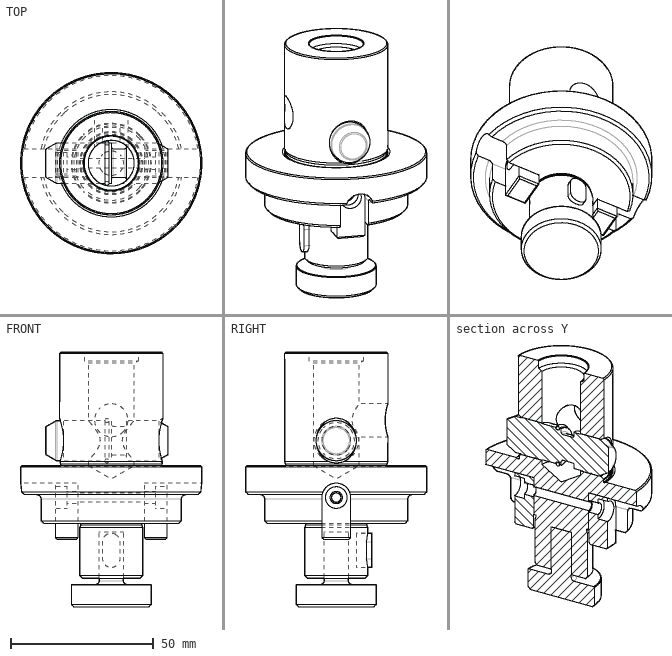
import cadquery as cq
import math


cut_clearance = 0.9

shank_radius = 18.1
shank_height = 39.7
shank_chamfer = 0.45
flange_radius = 63.5 / 2
flange_thickness = 10.2
flange_top_chamfer = 0.45
hub_radius = 25.1
hub_bottom = -20.3
hub_fillet = 1.5
pilot_radius = 11.1
pilot_bottom = -39.45
edge_chamfer = 1.0

relief_depth = 0.4
relief_length = 1.4
relief_ramp = 0.9
seat_relief_radius = 18.8

bore_radius = 8.0
bore_bottom = 0.0
counterbore_radius = 9.5
counterbore_depth = 3.0
mouth_chamfer = 0.3
drill_tip_angle = math.radians(30)
side_hole_radius = 5.8
side_hole_z = 15.9

pin_z = 8.75
pin_center_x = -1.5
pin_length = 42.85
pin_radius = 7.05
pin_tip_radius = 4.9
pin_cone_angle = math.radians(30)
pin_edge_fillet = 0.5
pin_shoulder_fillet = 1.0
waist_radius = 10.1 / 2
waist_start = 0.1
waist_end = 5.3
waist_fillet = 0.5
ring_section_radius = 0.7

dog_width = 10.1
dog_inner_x = 11.6
dog_thickness = 7.9
dog_bottom = -25.8
dog_chamfer = 0.6
dog_screw_z = -11.2
screw_head_radius = 7.6 / 2
screw_head_depth = 4.0
screw_clearance_radius = 2.1
tapped_radius = 1.6

key_width = 6.1
key_length = 12.0
key_center_z = -29.6
key_inner_y = 7.05
key_outer_y = 12.5

head_radius = 14.0
head_top = -41.5
head_bottom = -49.5
head_top_chamfer = 0.3
stem_radius = 4.3
stem_top = -23.2
stem_fillet = 1.1


def revolve_about_z(profile):
    return profile.close().revolve(360, (0, 0, 0), (0, 1, 0))


def x_cylinder(radius, start_x, end_x, center_z):
    """Cylinder along X between two stations."""
    plane = cq.Workplane("YZ", origin=(start_x, 0, center_z))
    return plane.circle(radius).extrude(end_x - start_x)


def housing_blank():
    shank_relief = shank_radius - relief_depth
    pilot_relief = pilot_radius - relief_depth
    flange_bottom = -flange_thickness
    profile = (
        cq.Workplane("XZ")
        .moveTo(0, shank_height)
        .lineTo(shank_radius - shank_chamfer, shank_height)
        .lineTo(shank_radius, shank_height - shank_chamfer)
        .lineTo(shank_radius, relief_length)
        .lineTo(shank_relief, relief_length - relief_ramp)
        .lineTo(shank_relief, -relief_depth)
        .lineTo(shank_radius, -relief_depth)
        .lineTo(seat_relief_radius, 0)
        .lineTo(flange_radius - flange_top_chamfer, 0)
        .lineTo(flange_radius, -flange_top_chamfer)
        .lineTo(flange_radius, flange_bottom + edge_chamfer)
        .lineTo(flange_radius - edge_chamfer, flange_bottom)
        .lineTo(hub_radius + hub_fillet, flange_bottom)
        .radiusArc((hub_radius, flange_bottom - hub_fillet), -hub_fillet)
        .lineTo(hub_radius, hub_bottom + edge_chamfer)
        .lineTo(hub_radius - edge_chamfer, hub_bottom)
        .lineTo(pilot_relief, hub_bottom)
        .lineTo(pilot_relief, hub_bottom - relief_length + relief_ramp)
        .lineTo(pilot_radius, hub_bottom - relief_length)
        .lineTo(pilot_radius, pilot_bottom + edge_chamfer)
        .lineTo(pilot_radius - edge_chamfer, pilot_bottom)
        .lineTo(0, pilot_bottom)
    )
    return revolve_about_z(profile)


def shank_bore():
    """Stepped blind bore with drill-tip cones at the step and at the bottom."""
    step_z = shank_height - counterbore_depth
    step_drop = (counterbore_radius - bore_radius) * math.tan(drill_tip_angle)
    tip_drop = bore_radius * math.tan(drill_tip_angle)
    profile = (
        cq.Workplane("XZ")
        .moveTo(0, shank_height)
        .lineTo(counterbore_radius + mouth_chamfer, shank_height)
        .lineTo(counterbore_radius, shank_height - mouth_chamfer)
        .lineTo(counterbore_radius, step_z)
        .lineTo(bore_radius, step_z - step_drop)
        .lineTo(bore_radius, bore_bottom)
        .lineTo(0, bore_bottom - tip_drop)
    )
    return revolve_about_z(profile)


def side_hole():
    """Radial hole from the +Y side of the shank into the bore."""
    plane = cq.Workplane("XZ", origin=(0, 0, side_hole_z))
    return plane.circle(side_hole_radius).extrude(-shank_radius)


def cross_hole():
    """Hole along X for the cross pin, flared where it leaves the shank."""
    flare_start = math.sqrt(shank_radius**2 - pin_radius**2)
    flare_end = shank_radius + cut_clearance
    flare_radius = pin_radius + (flare_end - flare_start) * math.tan(pin_cone_angle)
    profile = (
        cq.Workplane("XY", origin=(0, 0, pin_z))
        .moveTo(-flare_end, 0)
        .lineTo(-flare_end, flare_radius)
        .lineTo(-flare_start, pin_radius)
        .lineTo(flare_start, pin_radius)
        .lineTo(flare_end, flare_radius)
        .lineTo(flare_end, 0)
        .close()
    )
    return profile.revolve(360, (0, 0, 0), (1, 0, 0))


def round_topped_bar(side, start, end, bottom):
    """Bar of the dog's width, rounded at the top, from |X| = start to end on one side."""
    length = side * (end - start)
    half_width = dog_width / 2
    return (
        cq.Workplane("YZ", origin=(side * start, 0, 0))
        .moveTo(-half_width, bottom)
        .lineTo(half_width, bottom)
        .lineTo(half_width, dog_screw_z)
        .threePointArc((0, dog_screw_z + half_width), (-half_width, dog_screw_z))
        .close()
        .extrude(length)
    )


def make_dog(side):
    dog_outer_x = dog_inner_x + dog_thickness
    head_seat_x = dog_outer_x - screw_head_depth
    dog = round_topped_bar(side, dog_inner_x, dog_outer_x, dog_bottom)
    dog = dog.faces("<Z").chamfer(dog_chamfer)
    clearance = x_cylinder(screw_clearance_radius, side * dog_inner_x, side * dog_outer_x, dog_screw_z)
    head_recess = x_cylinder(screw_head_radius, side * head_seat_x, side * dog_outer_x, dog_screw_z)
    return dog.cut(clearance).cut(head_recess)


def make_key():
    """Feather key with round ends, standing in the pilot."""
    plane = cq.Workplane("XZ", origin=(0, key_inner_y, key_center_z))
    return plane.slot2D(key_length, key_width, 90).extrude(key_inner_y - key_outer_y)


def make_clamp_screw():
    profile = (
        cq.Workplane("XZ")
        .moveTo(0, stem_top)
        .lineTo(stem_radius, stem_top)
        .lineTo(stem_radius, head_top + stem_fillet)
        .radiusArc((stem_radius + stem_fillet, head_top), -stem_fillet)
        .lineTo(head_radius - head_top_chamfer, head_top)
        .lineTo(head_radius, head_top - head_top_chamfer)
        .lineTo(head_radius, head_bottom + edge_chamfer)
        .lineTo(head_radius - edge_chamfer, head_bottom)
        .lineTo(0, head_bottom)
    )
    return revolve_about_z(profile)


def make_ring():
    """O-ring seated round the middle of the cross pin."""
    section = cq.Workplane("XY", origin=(pin_center_x, 0, pin_z)).center(0, pin_radius)
    return section.circle(ring_section_radius).revolve(360, (0, -pin_radius, 0), (1, -pin_radius, 0))


def make_pin():
    """Cross pin with conical ends, a waist, and a groove for the O-ring."""
    half_length = pin_length / 2
    cone_length = (pin_radius - pin_tip_radius) / math.tan(pin_cone_angle)
    left_end = pin_center_x - half_length
    right_end = pin_center_x + half_length
    profile = (
        cq.Workplane("XY", origin=(0, 0, pin_z))
        .moveTo(left_end, 0)
        .lineTo(left_end, pin_tip_radius)
        .lineTo(left_end + cone_length, pin_radius)
        .lineTo(right_end - cone_length, pin_radius)
        .lineTo(right_end, pin_tip_radius)
        .lineTo(right_end, 0)
        .close()
    )
    pin = profile.revolve(360, (0, 0, 0), (1, 0, 0))
    shoulders = pin.edges(cq.selectors.RadiusNthSelector(-1))
    pin = shoulders.fillet(pin_shoulder_fillet)
    pin = pin.faces("<X or >X").edges().fillet(pin_edge_fillet)
    outside_waist = (
        x_cylinder(pin_radius + cut_clearance, waist_start, waist_end, pin_z)
        .cut(x_cylinder(waist_radius, waist_start, waist_end, pin_z))
    )
    inner_corners = outside_waist.edges(cq.selectors.RadiusNthSelector(0))
    outside_waist = inner_corners.fillet(waist_fillet)
    return pin.cut(outside_waist).cut(make_ring())


def make_housing():
    """Shank, flange, hub and pilot in one piece, with every bore, slot and seat cut into it."""
    housing = housing_blank().cut(shank_bore()).cut(side_hole()).cut(cross_hole())
    for side in (-1, 1):
        slot_outer_x = flange_radius + cut_clearance
        slot = round_topped_bar(side, dog_inner_x, slot_outer_x, hub_bottom - cut_clearance)
        housing = housing.cut(slot)
    tapped_hole = x_cylinder(tapped_radius, -dog_inner_x, dog_inner_x, dog_screw_z)
    return housing.cut(tapped_hole).cut(make_key()).cut(make_clamp_screw())


housing = make_housing()
cross_pin = make_pin()
o_ring = make_ring()
drive_dogs = [make_dog(side) for side in (-1, 1)]
feather_key = make_key()
clamp_screw = make_clamp_screw()

result = cq.Compound.makeCompound(
    [
        housing.val(),
        cross_pin.val(),
        o_ring.val(),
        *[dog.val() for dog in drive_dogs],
        feather_key.val(),
        clamp_screw.val(),
    ]
)